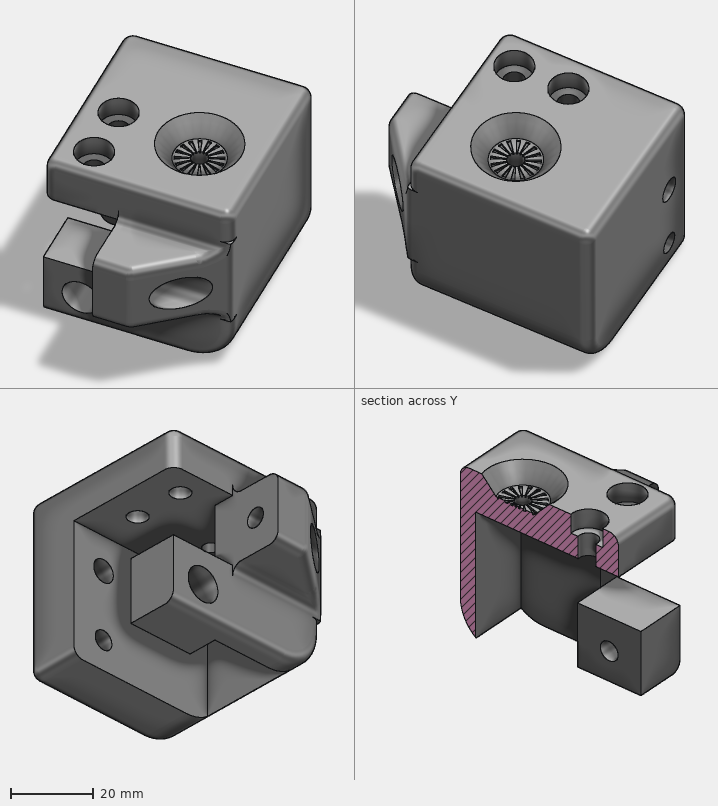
import cadquery as cq
block_x = 50.0
block_y = 51.0
block_z = 51.0
edge_radius = 3.0
bottom_corner_radius = 12.0

back_wall = 16.0
right_wall = 5.0
front_wall = 6.25
top_plate = 12.1
recess_x = 20.0
arm_y = 15.0
arm_z = 18.7
roof_z = block_z - top_plate
cavity_back_y = block_y - back_wall
cavity_right_x = block_x - right_wall

ear_reach = 16.0
ear_flat_length = 10.0
ear_slope_x = recess_x + ear_flat_length
ear_mid_z = (arm_z + roof_z) / 2
ear_root_y = edge_radius
ear_rim_radius = 2.99

screw_diameter = 5.6
head_diameter = 10.0
top_head_depth = 5.5
arm_head_depth = 10.0
screw_x = 10.0
upper_back_hole_diameter = 6.6
back_hole_pitch = 20.0
lower_screw_z = ear_mid_z - back_hole_pitch
top_screw_ys = (8.0, 23.0)
ear_screw_y = -ear_reach / 2
ear_head_floor_x = ear_slope_x

dish_x = (recess_x + cavity_right_x) / 2
dish_y = 20.75
dish_top_radius = 11.0
dish_floor_radius = 6.75
dish_depth = 4.75
dish_floor_z = block_z - dish_depth
dish_hole_radius = 2.2
groove_count = 16
groove_outer_radius = 6.2
groove_outer_width = 1.0
groove_inner_width = 0.2
groove_depth = 0.5
groove_start = dish_hole_radius * 0.95


def box(x_range, y_range, z_range):
    """Box between the given limits on each axis."""
    size = [high - low for low, high in (x_range, y_range, z_range)]
    corner = (x_range[0], y_range[0], z_range[0])
    return cq.Workplane("XY").box(*size, centered=False).translate(corner)


def rod(start, direction, diameter, length):
    """Cylinder running from a start point along a direction."""
    cylinder = cq.Solid.makeCylinder(diameter / 2, length, cq.Vector(*start), cq.Vector(*direction))
    return cq.Workplane(obj=cylinder)


def make_shell():
    """Rounded block hollowed from below and open at its front left."""
    block = box((0, block_x), (0, block_y), (0, block_z))
    block = block.edges("|Y and >X and <Z").fillet(bottom_corner_radius)
    block = block.edges().fillet(edge_radius)
    recess = box((0, recess_x), (0, cavity_back_y), (0, roof_z))
    cavity = box((recess_x, cavity_right_x), (front_wall, cavity_back_y), (0, roof_z))
    return block.cut(recess).cut(cavity)


def make_arm():
    """Lower arm carrying the front wall on to the left side."""
    arm = box((0, recess_x), (0, arm_y), (0, arm_z))
    return arm.edges("|X and <Y and <Z").fillet(edge_radius)


def ear_plan(right_points):
    """Full-height prism on the ear's plan, closed on the right by the given points."""
    front_points = [(recess_x, ear_root_y), (recess_x, -ear_reach), (ear_slope_x, -ear_reach)]
    return cq.Workplane("XY").polyline(front_points + right_points).close().extrude(block_z)


def round_upright(prism, x, y):
    """Round the upright edge of a full-height prism at the given place."""
    nearest = cq.selectors.NearestToPointSelector((x, y, block_z / 2))
    return prism.edges(nearest).fillet(edge_radius)


def make_ear():
    """Ear with concave blends into the front face and a rounded rim."""
    run_out_x = block_x + ear_root_y * (block_x - ear_slope_x) / ear_reach
    blend_bottom = arm_z - edge_radius
    blend_top = roof_z + edge_radius
    profile = (
        cq.Workplane("YZ", origin=(recess_x, 0, 0))
        .moveTo(ear_root_y, blend_bottom)
        .lineTo(0, blend_bottom)
        .radiusArc((-edge_radius, arm_z), -edge_radius)
        .lineTo(-ear_reach, arm_z)
        .lineTo(-ear_reach, roof_z)
        .lineTo(-edge_radius, roof_z)
        .radiusArc((0, blend_top), -edge_radius)
        .lineTo(ear_root_y, blend_top)
        .close()
        .extrude(run_out_x - recess_x)
    )
    sloped_plan = round_upright(ear_plan([(run_out_x, ear_root_y)]), ear_slope_x, -ear_reach)
    ear = profile.intersect(sloped_plan)
    ear = ear.faces("<Y").edges("|X").fillet(ear_rim_radius)
    block_plan = ear_plan([(block_x, 0), (block_x, ear_root_y)])
    return ear.intersect(round_upright(block_plan, block_x, 0))


def cut_screw_holes(part):
    """Screw holes through the top plate, arm, back wall and ear."""
    for y in top_screw_ys:
        part = part.cut(rod((screw_x, y, roof_z), (0, 0, 1), screw_diameter, top_plate))
        head_start = (screw_x, y, block_z - top_head_depth)
        part = part.cut(rod(head_start, (0, 0, 1), head_diameter, top_head_depth))
    part = part.cut(rod((screw_x, 0, lower_screw_z), (0, 1, 0), screw_diameter, block_y))
    part = part.cut(rod((screw_x, 0, lower_screw_z), (0, 1, 0), head_diameter, arm_head_depth))
    upper_start = (screw_x, cavity_back_y, ear_mid_z)
    part = part.cut(rod(upper_start, (0, 1, 0), upper_back_hole_diameter, back_wall))
    ear_length = block_x - recess_x
    part = part.cut(rod((recess_x, ear_screw_y, ear_mid_z), (1, 0, 0), screw_diameter, ear_length))
    return part.cut(rod((ear_head_floor_x, ear_screw_y, ear_mid_z), (1, 0, 0), head_diameter, ear_length))


def cut_dish(part):
    """Conical dish, its centre hole and the ring of tapered grooves."""
    centre = cq.Vector(dish_x, dish_y, dish_floor_z)
    cone = cq.Solid.makeCone(dish_floor_radius, dish_top_radius, dish_depth, centre)
    part = part.cut(cq.Workplane(obj=cone))
    part = part.cut(rod((dish_x, dish_y, roof_z), (0, 0, 1), 2 * dish_hole_radius, top_plate))
    groove = (
        cq.Workplane("XY")
        .polyline(
            [
                (groove_start, -groove_inner_width / 2),
                (groove_outer_radius, -groove_outer_width / 2),
                (groove_outer_radius, groove_outer_width / 2),
                (groove_start, groove_inner_width / 2),
            ]
        )
        .close()
        .extrude(-groove_depth)
    )
    for index in range(groove_count):
        turned = groove.rotate((0, 0, 0), (0, 0, 1), index * 360 / groove_count)
        part = part.cut(turned.translate(centre))
    return part


body = make_shell().union(make_arm()).union(make_ear())
result = cut_dish(cut_screw_holes(body))